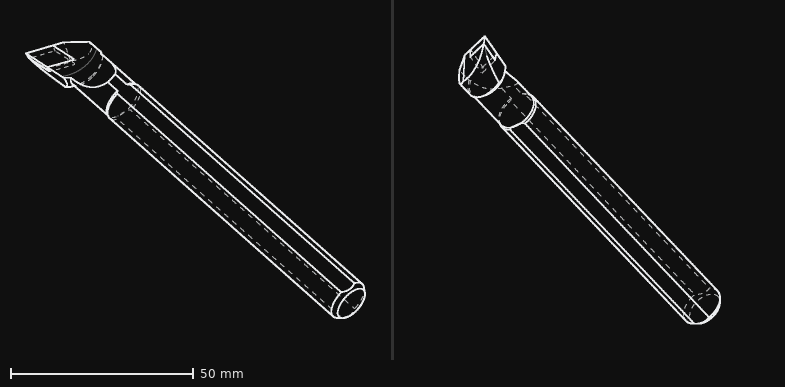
import cadquery as cq
import math

LENGTH = 125.0
SHANK_RADIUS = 6.0
NECK_RADIUS = 5.8
FLAT_HEIGHT = 5.5
NECK_START = 14.9
NECK_END = 29.8
STEP_LENGTH = 0.8
END_CHAMFER_LENGTH = 1.5
END_CHAMFER_DEPTH = 1.0

HEAD_RADIUS = 7.2
HEAD_OFFSET = HEAD_RADIUS - SHANK_RADIUS
TIP_Y = -9.0
TIP_Z = 0.1
NOSE_BEND = (5.0, 0.9)
BEVEL_END = (10.1, SHANK_RADIUS)
EDGE_ANGLE = 8.5
FLANK_RELIEF = 4.0
EDGE_RELIEF = 15.0

RAKE_TILT = 8.5
FLUTE_CENTRE = (3.5, -0.8)
FLUTE_FLAT_RADIUS = 11.2
FLUTE_ARC_RADIUS = 16.2

INSERT_SIDE = 7.8
INSERT_THICKNESS = 2.2
INSERT_CORNER_CUT = 0.4

MARGIN = 10.0

tip = cq.Vector(0, TIP_Y, TIP_Z)
edge_rad = math.radians(EDGE_ANGLE)
flank_rad = math.atan2(NOSE_BEND[1] - TIP_Y, NOSE_BEND[0])
tilt_rad = math.radians(RAKE_TILT)


def rake_plane(x, y):
    """Workplane on the tilted rake face, with its origin above the point (x, y)."""
    z = TIP_Z + (y - TIP_Y) * math.tan(tilt_rad)
    normal = (0, -math.sin(tilt_rad), math.cos(tilt_rad))
    return cq.Workplane(cq.Plane(origin=(x, y, z), xDir=(1, 0, 0), normal=normal))


def make_shank():
    """Turned neck and shank with a flat along the top and one below the shank."""
    step_end = NECK_END + STEP_LENGTH
    profile = [
        (NECK_START - STEP_LENGTH, 0),
        (NECK_START - STEP_LENGTH, NECK_RADIUS),
        (NECK_END, NECK_RADIUS),
        (step_end, SHANK_RADIUS),
        (LENGTH - END_CHAMFER_LENGTH, SHANK_RADIUS),
        (LENGTH, SHANK_RADIUS - END_CHAMFER_DEPTH),
        (LENGTH, 0),
    ]
    shank = cq.Workplane("XY").polyline(profile).close().revolve(360, (0, 0, 0), (1, 0, 0))
    slab = cq.Workplane("XY").box(LENGTH, 2 * MARGIN, MARGIN, centered=(False, True, False))
    top_slab = slab.translate((0, 0, FLAT_HEIGHT))
    bottom_slab = slab.translate((NECK_END, 0, -FLAT_HEIGHT - MARGIN))
    return shank.cut(top_slab).cut(bottom_slab)


def make_flute():
    """Round cutter: a flat disc on the rake face that sweeps up in an arc."""
    outer = FLUTE_FLAT_RADIUS + FLUTE_ARC_RADIUS
    arc_mid = (
        FLUTE_FLAT_RADIUS + FLUTE_ARC_RADIUS * math.sin(math.pi / 4),
        FLUTE_ARC_RADIUS * (1 - math.cos(math.pi / 4)),
    )
    profile_plane = cq.Plane(
        origin=rake_plane(*FLUTE_CENTRE).plane.origin.toTuple(),
        xDir=(1, 0, 0),
        normal=(0, -math.cos(tilt_rad), -math.sin(tilt_rad)),
    )
    return (
        cq.Workplane(profile_plane)
        .lineTo(FLUTE_FLAT_RADIUS, 0)
        .threePointArc(arc_mid, (outer, FLUTE_ARC_RADIUS))
        .lineTo(0, FLUTE_ARC_RADIUS)
        .close()
        .revolve(360, (0, 0, 0), (0, 1, 0))
    )


def relief_cutter(edge_angle, lean_angle, material_side):
    """Block beyond a face that passes through the tip and leans inward below its edge.

    material_side is +1 where the part lies left of the edge direction and -1 where it lies right.
    """
    lean = math.radians(lean_angle)
    outward = cq.Vector(math.sin(edge_angle), -math.cos(edge_angle), 0) * material_side
    face_plane = cq.Plane(
        origin=tip.toTuple(),
        xDir=(math.cos(edge_angle), math.sin(edge_angle), 0),
        normal=(math.sin(lean) * outward.x, math.sin(lean) * outward.y, math.cos(lean)),
    )
    return (
        cq.Workplane(face_plane)
        .center(0, -material_side * MARGIN / 2)
        .rect(4 * NECK_START, MARGIN)
        .extrude(2 * MARGIN, both=True)
    )


def make_wedge():
    """Pointed plan shape of head and insert, with leaning faces below both edges at the tip."""
    outer_y = TIP_Y - MARGIN
    bevel_slope = (BEVEL_END[1] - NOSE_BEND[1]) / (BEVEL_END[0] - NOSE_BEND[0])
    bevel_start = (NOSE_BEND[0] - MARGIN, NOSE_BEND[1] - MARGIN * bevel_slope)
    wedge = (
        cq.Workplane("XY")
        .polyline([
            (bevel_start[0], outer_y),
            (NECK_START, outer_y),
            (NECK_START, SHANK_RADIUS),
            BEVEL_END,
            bevel_start,
        ])
        .close()
        .extrude(MARGIN, both=True)
    )
    front_relief = relief_cutter(edge_rad, EDGE_RELIEF, 1)
    flank_relief = relief_cutter(flank_rad, FLANK_RELIEF, -1)
    return wedge.cut(front_relief).cut(flank_relief)


def make_pocket():
    """Rhombic insert seat in the rake face, open past the tip on both outer sides."""
    along_edge = cq.Vector(math.cos(edge_rad), math.sin(edge_rad), 0)
    along_flank = cq.Vector(math.cos(flank_rad), math.sin(flank_rad), 0)
    inner = (along_edge + along_flank) * INSERT_SIDE
    corners = [
        inner - along_flank * INSERT_CORNER_CUT,
        inner - along_edge * INSERT_CORNER_CUT,
        inner - along_edge * (INSERT_SIDE + MARGIN),
        inner - (along_edge + along_flank) * (INSERT_SIDE + MARGIN),
        inner - along_flank * (INSERT_SIDE + MARGIN),
    ]
    return (
        rake_plane(0, TIP_Y)
        .polyline([(corner.x, corner.y) for corner in corners])
        .close()
        .extrude(-INSERT_THICKNESS)
    )


def make_head(wedge):
    """Offset round head trimmed to the wedge, tapering down a 45 degree cone to the neck."""
    cylinder = cq.Workplane("YZ").center(-HEAD_OFFSET, 0).circle(HEAD_RADIUS).extrude(NECK_START)
    cone = (
        cq.Workplane("XY")
        .lineTo(0, NECK_RADIUS + NECK_START)
        .lineTo(NECK_START, NECK_RADIUS)
        .lineTo(NECK_START, 0)
        .close()
        .revolve(360, (0, 0, 0), (1, 0, 0))
    )
    return cylinder.intersect(wedge).intersect(cone)


def make_holder(wedge, pocket):
    """Boring bar: shank and head in one piece, fluted, with the insert seat cut out."""
    return make_shank().union(make_head(wedge)).cut(make_flute()).cut(pocket)


def make_insert(wedge, pocket):
    """Cutting insert: fills the seat and reaches out to the tip."""
    return wedge.intersect(pocket)


tool_wedge = make_wedge()
insert_pocket = make_pocket()
holder = make_holder(tool_wedge, insert_pocket)
insert = make_insert(tool_wedge, insert_pocket)

result = cq.Compound.makeCompound([holder.val(), insert.val()])